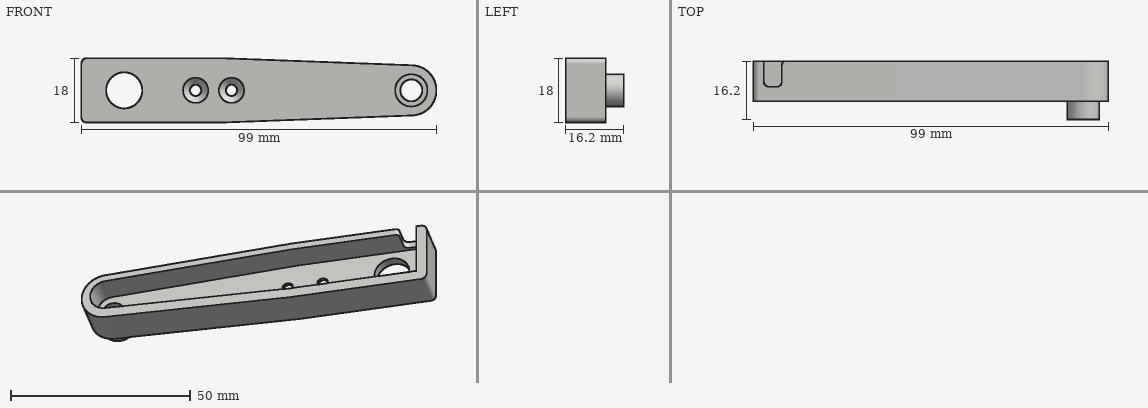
import cadquery as cq
import math

length = 99.0
height = 18.0
depth = 11.2
end_radius = 7.0
taper_start = 38.9
corner_radius = 1.6
taper_blend_radius = 9.9
top_wall = 2.0
bottom_wall = 3.0
plate = 3.0
end_wall = 3.0

pivot_x = length - end_radius
boss_diameter = 9.0
boss_length = 5.0
bore_diameter = 6.0

large_hole_x = 12.0
large_hole_diameter = 10.0
screw_x = 31.9
screw_spacing = 10.0
screw_diameter = 3.1
countersink_diameter = 7.0
countersink_angle = 90.0

notch_start = end_wall
notch_width = 5.0
notch_depth = 7.1
notch_inner_radius = 1.5
notch_mouth_radius = 1.0


def tapered_prism(left, half_height, radius, corner, front, thickness):
    """Extrude a tapered, round-ended outline toward +Y, starting at y = front."""
    run = pivot_x - taper_start
    direction = math.pi - math.atan2(half_height, run)
    normal = direction - math.acos(radius / math.hypot(run, half_height))
    tangent_x = pivot_x + radius * math.cos(normal)
    tangent_z = radius * math.sin(normal)
    taper_angle = math.pi / 2 - normal
    setback = taper_blend_radius * math.tan(taper_angle / 2)
    blend_x = taper_start + setback * math.cos(taper_angle)
    blend_z = half_height - setback * math.sin(taper_angle)
    prism = (
        cq.Workplane("XZ", origin=(0, front, 0))
        .moveTo(left, -half_height)
        .lineTo(taper_start - setback, -half_height)
        .radiusArc((blend_x, -blend_z), -taper_blend_radius)
        .lineTo(tangent_x, -tangent_z)
        .threePointArc((pivot_x + radius, 0), (tangent_x, tangent_z))
        .lineTo(blend_x, blend_z)
        .radiusArc((taper_start - setback, half_height), -taper_blend_radius)
        .lineTo(left, half_height)
        .close()
        .extrude(-thickness)
    )
    if corner > 0:
        prism = prism.edges("|Y and <X").fillet(corner)
    return prism


def cylinder(x, diameter, start, stop):
    """Cylinder along Y at height zero, between two Y positions."""
    return (
        cq.Workplane("XZ", origin=(x, start, 0))
        .circle(diameter / 2)
        .extrude(start - stop)
    )


def notch():
    """Round-bottomed notch through the top wall, with one eased mouth edge."""
    right = notch_start + notch_width
    cutter = (
        cq.Workplane("XY", origin=(0, 0, height / 2 - top_wall))
        .moveTo(notch_start, depth)
        .lineTo(notch_start, depth - notch_depth)
        .lineTo(right, depth - notch_depth)
        .lineTo(right, depth - notch_mouth_radius)
        .radiusArc((right + notch_mouth_radius, depth), notch_mouth_radius)
        .close()
        .extrude(top_wall)
    )
    return cutter.edges("|Z and <Y").fillet(notch_inner_radius)


body = tapered_prism(0, height / 2, end_radius, corner_radius, 0, depth)
mean_wall = (top_wall + bottom_wall) / 2
cavity = tapered_prism(
    end_wall, height / 2 - mean_wall, end_radius - mean_wall, 0, plate, depth - plate
)
cavity = cavity.translate((0, 0, bottom_wall - mean_wall))
result = body.cut(cavity).cut(notch())

result = result.union(cylinder(pivot_x, boss_diameter, -boss_length, plate))
result = result.cut(cylinder(pivot_x, bore_diameter, -boss_length, plate))

result = result.cut(cylinder(large_hole_x, large_hole_diameter, 0, plate))
result = (
    result.copyWorkplane(cq.Workplane("XZ"))
    .pushPoints([(screw_x, 0), (screw_x + screw_spacing, 0)])
    .cskHole(screw_diameter, countersink_diameter, countersink_angle, depth=plate)
)